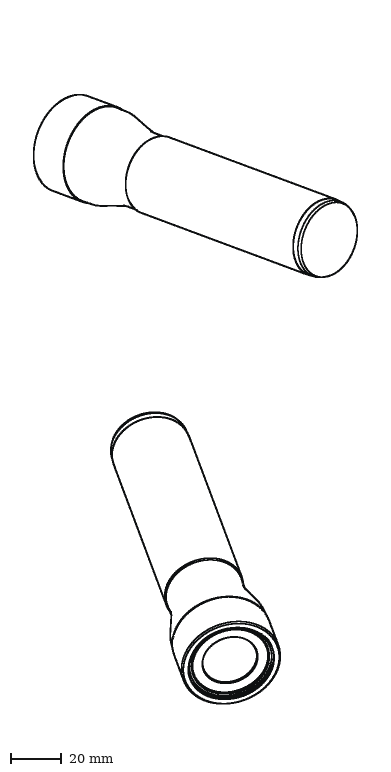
import cadquery as cq

TOTAL_LENGTH = 149.9

BEZEL_RADIUS = 40.0 / 2
BEZEL_LENGTH = 17.7
RIM_CHAMFER = 0.6

LEDGES = [(17.4, 1.0), (16.6, 1.3), (15.7, 1.6), (15.3, 2.0)]
REFLECTOR_OUTER_RADIUS = 14.7
REFLECTOR_INNER_RADIUS = 11.2
REFLECTOR_INNER_DEPTH = 2.2
LENS_SEAT_RADIUS = 11.0
LENS_SEAT_DEPTH = 2.8
LENS_RADIUS = 9.5
LENS_DEPTH = 3.0

COLLAR_RADIUS = 19.6
COLLAR_END = 22.2
NECK_RADIUS = 31.0 / 2
NECK_START = 39.7
FLARE_START = 24.9
FLARE_END = 37.0
FLARE_START_RADIUS = 19.2
FLARE_END_RADIUS = 16.0
NECK_END = 48.9
GRIP_RADIUS = 32.0 / 2
GRIP_CHAMFER_LENGTH = 0.6
GRIP_END = 144.5
TAIL_START = 145.9
SHOULDER_RADIUS = 15.9
TAIL_RADIUS = 31.5 / 2
TAIL_CHAMFER_LENGTH = 1.3
TAIL_CHAMFER_DEPTH = 0.5


def revolve_about_x(profile):
    """Turn a closed half profile, drawn as (x, radius), into a solid of revolution."""
    return profile.close().revolve(360, (0, 0, 0), (1, 0, 0))


def make_bezel():
    profile = (
        cq.Workplane("XY")
        .moveTo(BEZEL_LENGTH, 0)
        .lineTo(BEZEL_LENGTH, BEZEL_RADIUS)
        .lineTo(RIM_CHAMFER, BEZEL_RADIUS)
        .lineTo(0, BEZEL_RADIUS - RIM_CHAMFER)
    )
    depth = 0
    for radius, ledge_depth in LEDGES:
        profile = profile.lineTo(depth, radius).lineTo(ledge_depth, radius)
        depth = ledge_depth
    profile = (
        profile.lineTo(depth, REFLECTOR_OUTER_RADIUS)
        .lineTo(REFLECTOR_INNER_DEPTH, REFLECTOR_INNER_RADIUS)
        .lineTo(LENS_SEAT_DEPTH, LENS_SEAT_RADIUS)
        .lineTo(LENS_DEPTH, LENS_RADIUS)
        .lineTo(LENS_DEPTH, 0)
    )
    return revolve_about_x(profile)


def make_housing():
    profile = (
        cq.Workplane("XY")
        .moveTo(BEZEL_LENGTH, 0)
        .lineTo(BEZEL_LENGTH, COLLAR_RADIUS)
        .lineTo(COLLAR_END, COLLAR_RADIUS)
        .tangentArcPoint((FLARE_START, FLARE_START_RADIUS), relative=False)
        .lineTo(FLARE_END, FLARE_END_RADIUS)
        .tangentArcPoint((NECK_START, NECK_RADIUS), relative=False)
        .lineTo(NECK_END, NECK_RADIUS)
        .lineTo(NECK_END + GRIP_CHAMFER_LENGTH, GRIP_RADIUS)
        .lineTo(GRIP_END, GRIP_RADIUS)
        .lineTo(TAIL_START, SHOULDER_RADIUS)
        .lineTo(TAIL_START, TAIL_RADIUS)
        .lineTo(TOTAL_LENGTH - TAIL_CHAMFER_LENGTH, TAIL_RADIUS)
        .lineTo(TOTAL_LENGTH, TAIL_RADIUS - TAIL_CHAMFER_DEPTH)
        .lineTo(TOTAL_LENGTH, 0)
    )
    return revolve_about_x(profile)


bezel = make_bezel()
housing = make_housing()

result = cq.Compound.makeCompound([bezel.val(), housing.val()])